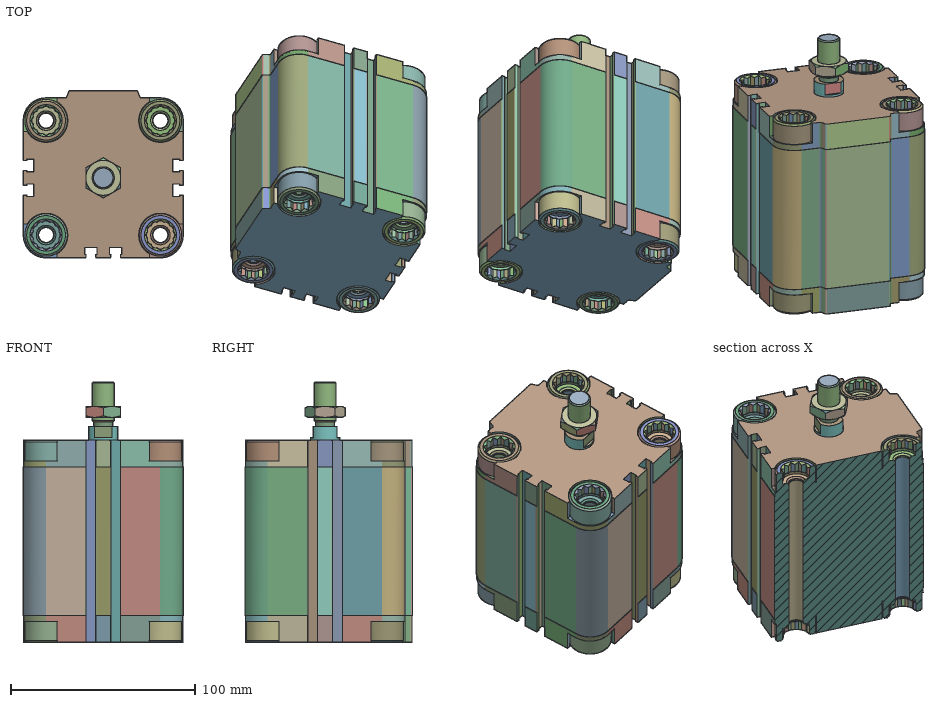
import cadquery as cq
import math

TOTAL_HEIGHT = 141.5
HOUSING_HEIGHT = 110.0
HALF_WIDTH = 43.51
CORNER_RADIUS = 12.5
SCREW_OFFSET = HALF_WIDTH - CORNER_RADIUS

RAIL_TOP_HALF_WIDTH = 18.5
RAIL_BASE_HALF_WIDTH = 20.1
RAIL_HEIGHT = 4.0
RAIL_FILLET = 1.0

CAP_HEIGHT = 14.7
CAP_INSET = 0.21
NOTCH_HEIGHT = 11.5
NOTCH_START = 25.0

SLOT_OFFSET = 6.72
SLOT_NECK_WIDTH = 5.2
SLOT_WIDTH = 6.7
SLOT_DEPTH = 5.7
SLOT_LIP = 2.0
SLOT_EDGE_RADIUS = 0.5

HEAD_DIAMETER = 23.0
HEAD_CHAMFER = 1.0
HEAD_POCKET_DIAMETER = 23.6
SOCKET_POINTS = 12
SOCKET_TIP_DIAMETER = 16.5
SOCKET_ROOT_DIAMETER = 14.3
SOCKET_MOUTH_DIAMETER = 17.4
SOCKET_MOUTH_DEPTH = 1.1
SOCKET_STAR_DEPTH = 6.0
SOCKET_FLOOR_DIAMETER = 15.4
SOCKET_FLOOR_DEPTH = 7.6
COUNTERSINK_DIAMETER = 10.6
COUNTERBORE_DIAMETER = 8.6
COUNTERSINK_DEPTH = 0.8
COUNTERBORE_DEPTH = 1.7
THROUGH_DIAMETER = 8.0

ROD_DIAMETER = 16.0
ROD_SHOULDER_Z = 117.3
ROD_BOTTOM_Z = HOUSING_HEIGHT - CAP_HEIGHT
ROD_FLATS_WIDTH = 13.0
ROD_FLATS_Z = 111.2
NECK_DIAMETER = 10.5
THREAD_DIAMETER = 12.0
THREAD_BOTTOM_Z = 119.9
THREAD_CHAMFER = 0.7

NUT_ACROSS_FLATS = 19.0
NUT_HEIGHT = 6.0
NUT_BOTTOM_Z = 122.3
NUT_CHAMFER_ANGLE = 30.0


def cylinder(diameter, bottom, top):
    return cq.Workplane("XY").workplane(offset=bottom).circle(diameter / 2).extrude(top - bottom)


def profile_block(inset, bottom, height):
    """Rounded square with the rail on +Y, drawn in from the tube outline by the inset."""
    side = 2 * (HALF_WIDTH - inset)
    base = cq.Workplane("XY").workplane(offset=bottom)
    block = base.rect(side, side).extrude(height).edges("|Z").fillet(CORNER_RADIUS - inset)
    rail_points = [
        (-RAIL_BASE_HALF_WIDTH, HALF_WIDTH - inset),
        (-RAIL_TOP_HALF_WIDTH, HALF_WIDTH + RAIL_HEIGHT - inset),
        (RAIL_TOP_HALF_WIDTH, HALF_WIDTH + RAIL_HEIGHT - inset),
        (RAIL_BASE_HALF_WIDTH, HALF_WIDTH - inset),
        (0, 0),
    ]
    block = block.union(base.polyline(rail_points).close().extrude(height))
    middle = bottom + height / 2
    for x, y in rail_points[:4]:
        block = block.edges(cq.NearestToPointSelector((x, y, middle))).fillet(RAIL_FILLET)
    return block


def slot_pair():
    """Cutter for the two T-slots of the -Y side."""
    outer = -HALF_WIDTH
    floor = outer + SLOT_DEPTH
    lip = outer + SLOT_LIP
    neck = SLOT_NECK_WIDTH / 2
    wide = SLOT_WIDTH / 2
    mouth = neck + SLOT_EDGE_RADIUS
    edge = outer + SLOT_EDGE_RADIUS
    arc_inset = SLOT_EDGE_RADIUS * (1 - math.sqrt(0.5))
    slot = (
        cq.Workplane("XY").moveTo(-mouth, outer).lineTo(mouth, outer)
        .threePointArc((neck + arc_inset, outer + arc_inset), (neck, edge))
        .lineTo(neck, lip).lineTo(wide, lip).lineTo(wide, floor)
        .lineTo(-wide, floor).lineTo(-wide, lip).lineTo(-neck, lip).lineTo(-neck, edge)
        .threePointArc((-neck - arc_inset, outer + arc_inset), (-mouth, outer))
        .close().extrude(HOUSING_HEIGHT)
    )
    return slot.translate((-SLOT_OFFSET, 0, 0)).union(slot.translate((SLOT_OFFSET, 0, 0)))


def corner_notch():
    """Cutter for one top corner of a cap, leaving room for the screw head at +X, +Y."""
    outer = HALF_WIDTH + 1.4
    bottom = HOUSING_HEIGHT - NOTCH_HEIGHT
    outline = [
        (NOTCH_START, outer),
        (NOTCH_START, SCREW_OFFSET),
        (SCREW_OFFSET, SCREW_OFFSET),
        (SCREW_OFFSET, NOTCH_START),
        (outer, NOTCH_START),
        (outer, outer),
    ]
    notch = cq.Workplane("XY").workplane(offset=bottom).polyline(outline).close().extrude(NOTCH_HEIGHT)
    pocket = cylinder(HEAD_POCKET_DIAMETER, bottom, HOUSING_HEIGHT).translate((SCREW_OFFSET, SCREW_OFFSET, 0))
    return notch.union(pocket)


def screw_head():
    """One chamfered head in the top cap at +X, +Y."""
    head = cylinder(HEAD_DIAMETER, HOUSING_HEIGHT - NOTCH_HEIGHT, HOUSING_HEIGHT)
    head = head.faces(">Z").chamfer(HEAD_CHAMFER)
    return head.translate((SCREW_OFFSET, SCREW_OFFSET, 0))


def star_outline():
    """Corners of the socket star: tips and roots in turn, the first tip on +X."""
    points = []
    for step in range(2 * SOCKET_POINTS):
        angle = math.pi * step / SOCKET_POINTS
        radius = (SOCKET_ROOT_DIAMETER if step % 2 else SOCKET_TIP_DIAMETER) / 2
        points.append((radius * math.cos(angle), radius * math.sin(angle)))
    return points


def screw_socket():
    """Cutter for the socket of one top screw at +X, +Y, down to its counterbore."""
    floor_z = HOUSING_HEIGHT - SOCKET_FLOOR_DEPTH
    star_z = HOUSING_HEIGHT - SOCKET_STAR_DEPTH
    mouth_z = HOUSING_HEIGHT - SOCKET_MOUTH_DEPTH
    mouth = (
        cq.Workplane("XY").workplane(offset=mouth_z).circle(SOCKET_ROOT_DIAMETER / 2)
        .workplane(offset=SOCKET_MOUTH_DEPTH).circle(SOCKET_MOUTH_DIAMETER / 2).loft()
    )
    countersink = (
        cq.Workplane("XY").workplane(offset=floor_z - COUNTERSINK_DEPTH).circle(COUNTERBORE_DIAMETER / 2)
        .workplane(offset=COUNTERSINK_DEPTH).circle(COUNTERSINK_DIAMETER / 2).loft()
    )
    socket = cylinder(SOCKET_FLOOR_DIAMETER, floor_z, star_z)
    star = cq.Workplane("XY").workplane(offset=star_z).polyline(star_outline()).close()
    socket = socket.union(star.extrude(SOCKET_STAR_DEPTH))
    socket = socket.union(mouth).union(countersink)
    socket = socket.union(cylinder(COUNTERBORE_DIAMETER, floor_z - COUNTERBORE_DEPTH, floor_z))
    return socket.translate((SCREW_OFFSET, SCREW_OFFSET, 0))


def at_all_corners(shape):
    """The +X, +Y top-corner shape repeated at the four corners of both caps."""
    lower = shape.mirror("XY", (0, 0, HOUSING_HEIGHT / 2))
    return [
        end.rotate((0, 0, 0), (0, 0, 1), angle)
        for end in (shape, lower)
        for angle in (0, 90, 180, 270)
    ]


def make_housing():
    tube_height = HOUSING_HEIGHT - 2 * CAP_HEIGHT
    body = profile_block(0, CAP_HEIGHT, tube_height)
    for cap_bottom in (0, HOUSING_HEIGHT - CAP_HEIGHT):
        body = body.union(profile_block(CAP_INSET, cap_bottom, CAP_HEIGHT))
    slots = slot_pair()
    for angle in (-90, 0, 90):
        body = body.cut(slots.rotate((0, 0, 0), (0, 0, 1), angle))
    for notch in at_all_corners(corner_notch()):
        body = body.cut(notch)
    for head in at_all_corners(screw_head()):
        body = body.union(head)
    for socket in at_all_corners(screw_socket()):
        body = body.cut(socket)
    for x in (-SCREW_OFFSET, SCREW_OFFSET):
        for y in (-SCREW_OFFSET, SCREW_OFFSET):
            body = body.cut(cylinder(THROUGH_DIAMETER, 0, HOUSING_HEIGHT).translate((x, y, 0)))
    return body.cut(cylinder(ROD_DIAMETER, ROD_BOTTOM_Z, HOUSING_HEIGHT))


def make_rod():
    shank = cylinder(ROD_DIAMETER, ROD_BOTTOM_Z, ROD_SHOULDER_Z)
    flats_height = ROD_SHOULDER_Z - ROD_FLATS_Z
    flats = (
        cq.Workplane("XY").workplane(offset=ROD_FLATS_Z).rect(2 * ROD_DIAMETER, 2 * ROD_DIAMETER)
        .rect(2 * ROD_DIAMETER, ROD_FLATS_WIDTH).extrude(flats_height)
    )
    neck = cylinder(NECK_DIAMETER, ROD_SHOULDER_Z, THREAD_BOTTOM_Z)
    thread = cylinder(THREAD_DIAMETER, THREAD_BOTTOM_Z, TOTAL_HEIGHT).faces("<Z or >Z").chamfer(THREAD_CHAMFER)
    return shank.cut(flats).union(neck).union(thread)


def make_nut():
    """Hexagon nut with conical corner chamfers at both ends."""
    circumradius = NUT_ACROSS_FLATS / 2 / math.cos(math.radians(30))
    chamfer_width = circumradius - NUT_ACROSS_FLATS / 2
    chamfer_height = chamfer_width * math.tan(math.radians(NUT_CHAMFER_ANGLE))
    prism = cq.Workplane("XY").workplane(offset=NUT_BOTTOM_Z).polygon(6, 2 * circumradius)
    prism = prism.extrude(NUT_HEIGHT).rotate((0, 0, 0), (0, 0, 1), 90)
    envelope = cylinder(2 * circumradius, NUT_BOTTOM_Z, NUT_BOTTOM_Z + NUT_HEIGHT)
    envelope = envelope.faces("<Z or >Z").chamfer(chamfer_height, chamfer_width)
    bore = cylinder(THREAD_DIAMETER, NUT_BOTTOM_Z, NUT_BOTTOM_Z + NUT_HEIGHT)
    return prism.intersect(envelope).cut(bore)


housing = make_housing()
rod = make_rod()
nut = make_nut()

result = cq.Compound.makeCompound([housing.val(), rod.val(), nut.val()])